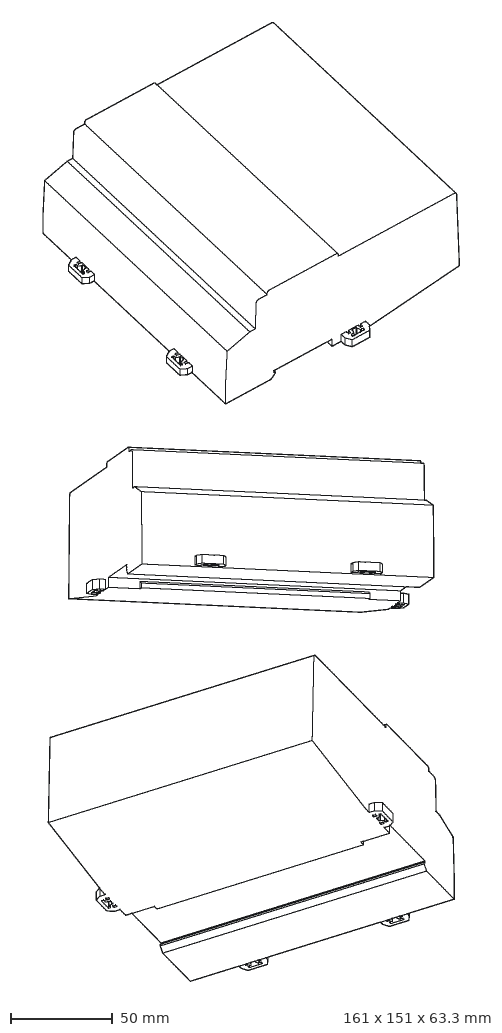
import cadquery as cq


TOTAL_LENGTH = 161.0
TAB_REACH = 6.3
HOUSING_LENGTH = TOTAL_LENGTH - 2 * TAB_REACH
HOUSING_DEPTH = 144.7
TOTAL_HEIGHT = 63.3
DECK_HEIGHT = 60.9
DECK_FRONT = 19.0
BACK_LEAN = 1.8
DECK_BACK = HOUSING_DEPTH - BACK_LEAN
DECK_RADIUS = 1.8
PLINTH_HEIGHT = 14.5
SHOULDER_FRONT = 1.0
SHOULDER_LOW = 36.4
SHOULDER_HIGH = 41.4
SHOULDER_LEDGE = 15.0
RISER_FOOT = 18.4
BACK_HEEL = 8.2
BASE_BACK = 90.2

PANEL_FRONT = 25.8
PANEL_BACK = 69.7
PANEL_RADIUS = 1.3

CHANNEL_FRONT = 30.0
CHANNEL_BACK = 65.8
CHANNEL_HEIGHT = 5.0
HOOK_REACH = 0.8
HOOK_TOP = 3.7
HOOK_BEVEL_TOP = 2.7
HOOK_FOOT = 28.2
NOSE_REACH = 2.5
NOSE_TIP = 2.4
NOSE_INSET = 16.1

TAB_TOP = CHANNEL_HEIGHT
TAB_HALF_WIDTH = 7.5
TAB_END_HALF_WIDTH = 5.5
TAB_SHOULDER = 3.0
WINDOW_REACH = 4.3
WINDOW_HALF_WIDTH = 3.7
FINGER_REACH = 3.2
FINGER_HALF_GAP = 2.1
THROAT_HALF_WIDTH = 1.3
THROAT_REACH = 1.5
NICK_REACH = 2.9
NICK_HALF_WIDTH = 2.9
BACK_BAR = 0.6
POCKET_INNER = 3.0
POCKET_OUTER = 4.3
POCKET_REACH = 1.8
SIDE_TAB_Y = 79.0
CLIP_X = 39.8
CLIP_BOTTOM = 0.6


def mirrored(half_outline):
    """Complete an outline, given from its +X side, with its mirror image across X = 0."""
    return half_outline + [(-x, y) for x, y in reversed(half_outline)]


def make_tab(bottom):
    """Tab with its root on Y = 0, reaching toward -Y, from `bottom` up to the tab top."""
    height = TAB_TOP - bottom
    plate_outline = mirrored([
        (TAB_HALF_WIDTH, 0),
        (TAB_HALF_WIDTH, -TAB_SHOULDER),
        (TAB_END_HALF_WIDTH, -TAB_REACH),
    ])
    window_outline = mirrored([
        (THROAT_HALF_WIDTH, -BACK_BAR),
        (THROAT_HALF_WIDTH, -THROAT_REACH),
        (FINGER_HALF_GAP, -FINGER_REACH),
        (NICK_HALF_WIDTH, -NICK_REACH),
        (WINDOW_HALF_WIDTH, -FINGER_REACH),
        (WINDOW_HALF_WIDTH, -WINDOW_REACH),
    ])
    base = cq.Workplane("XY").workplane(offset=bottom)
    tab = base.polyline(plate_outline).close().extrude(height)
    tab = tab.cut(base.polyline(window_outline).close().extrude(height))
    for side in (-1, 1):
        pocket = base.moveTo(side * POCKET_INNER, 0).lineTo(side * POCKET_OUTER, 0)
        pocket = pocket.lineTo(side * POCKET_OUTER, -POCKET_REACH)
        pocket = pocket.lineTo(side * POCKET_INNER, -POCKET_REACH).close()
        tab = tab.cut(pocket.extrude(height))
    return tab


def extrude_along_x(outline, length):
    """Extrude a (Y, Z) outline along X, centred on X = 0."""
    return cq.Workplane("YZ").polyline(outline).close().extrude(length / 2, both=True)


def make_shell():
    """Main block of the housing, with the rail channel and its front hook."""
    shell = extrude_along_x([
        (0, 0),
        (0, PLINTH_HEIGHT),
        (SHOULDER_FRONT, SHOULDER_LOW),
        (SHOULDER_LEDGE, SHOULDER_HIGH),
        (RISER_FOOT, SHOULDER_HIGH),
        (DECK_FRONT, DECK_HEIGHT),
        (DECK_BACK, DECK_HEIGHT),
        (HOUSING_DEPTH, BACK_HEEL),
        (BASE_BACK, 0),
        (CHANNEL_BACK, 0),
        (CHANNEL_BACK, CHANNEL_HEIGHT),
        (CHANNEL_FRONT, CHANNEL_HEIGHT),
        (CHANNEL_FRONT, HOOK_TOP),
        (CHANNEL_FRONT + HOOK_REACH, HOOK_TOP),
        (CHANNEL_FRONT + HOOK_REACH, HOOK_BEVEL_TOP),
        (HOOK_FOOT, 0),
    ], HOUSING_LENGTH)
    return shell.faces(">Z").edges("|X").fillet(DECK_RADIUS)


def make_panel():
    """Raised panel across the deck, rounded along its front and back edges."""
    panel = extrude_along_x([
        (PANEL_FRONT, DECK_HEIGHT),
        (PANEL_FRONT, TOTAL_HEIGHT),
        (PANEL_BACK, TOTAL_HEIGHT),
        (PANEL_BACK, DECK_HEIGHT),
    ], HOUSING_LENGTH)
    return panel.faces(">Z").edges("|X").fillet(PANEL_RADIUS)


def make_nose():
    """Rail nose along the back wall of the channel, short of both ends."""
    return extrude_along_x([
        (CHANNEL_BACK, 0),
        (CHANNEL_BACK, HOOK_TOP),
        (CHANNEL_BACK - NOSE_REACH, NOSE_TIP),
        (CHANNEL_BACK - NOSE_REACH, 0),
    ], HOUSING_LENGTH - 2 * NOSE_INSET)


def make_housing():
    """Housing with its two fixed end tabs."""
    housing = make_shell().union(make_panel()).union(make_nose())
    for side in (-1, 1):
        tab = make_tab(0).rotate((0, 0, 0), (0, 0, 1), side * 90)
        housing = housing.union(tab.translate((side * HOUSING_LENGTH / 2, SIDE_TAB_Y, 0)))
    return housing


def make_front_clip(x):
    """Separate clip that bears on the front wall of the housing."""
    return make_tab(CLIP_BOTTOM).translate((x, 0, 0))


housing = make_housing()
front_clips = [make_front_clip(x) for x in (-CLIP_X, CLIP_X)]

result = cq.Compound.makeCompound([housing.val(), *[clip.val() for clip in front_clips]])